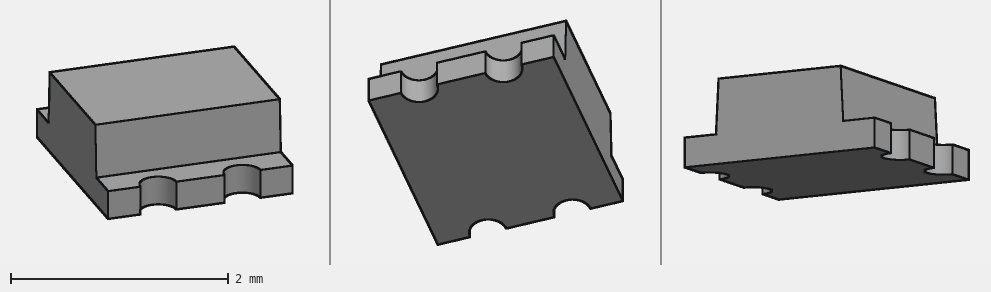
import cadquery as cq
import math

length = 2.0
width = 1.8
base_height = 0.28

total_height = 0.8
lens_foot_length = 1.34
draft_angle = 3.0

notch_diameter = 0.35
notch_spacing = 0.82


def make_base():
    return cq.Workplane("XY").box(length, width, base_height, centered=(True, True, False))


def make_lens():
    lens_height = total_height - base_height
    foot = lens_foot_length / 2
    top = foot - lens_height * math.tan(math.radians(draft_angle))
    return (
        cq.Workplane("XZ")
        .polyline([(-foot, base_height), (foot, base_height), (top, total_height), (-top, total_height)])
        .close()
        .extrude(width / 2, both=True)
    )


def make_notches():
    return (
        cq.Workplane("XY")
        .rect(length, notch_spacing, forConstruction=True)
        .vertices()
        .circle(notch_diameter / 2)
        .extrude(base_height)
    )


result = make_base().cut(make_notches()).union(make_lens())